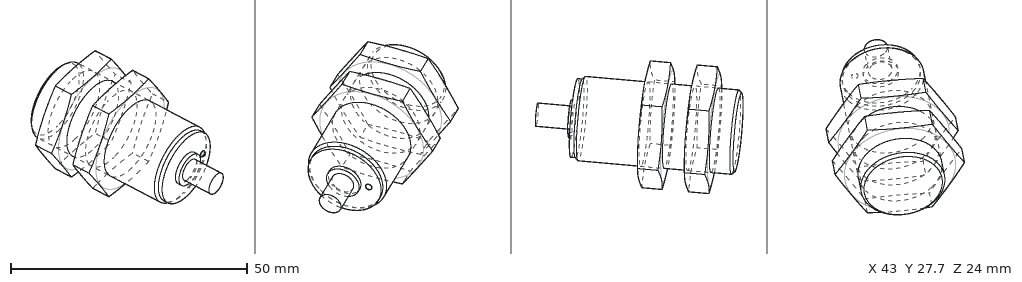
import cadquery as cq
import math

BODY_DIAMETER = 18.0
NECK_DIAMETER = 16.77
BODY_END = 34.0
NECK_END = 35.0
FACE_CHAMFER = (BODY_DIAMETER - NECK_DIAMETER) / 2

COLLAR_DIAMETER = 7.5
COLLAR_END = 35.95
CABLE_DIAMETER = 5.0
CABLE_END = 43.0

LAMP_DIAMETER = 1.44
LAMP_RIM_HEIGHT = 0.1
LAMP_DOME_HEIGHT = 0.47
LAMP_OFFSET_Y = 5.58

NUT_ACROSS_FLATS = 24.0
NUT_ACROSS_CORNERS = NUT_ACROSS_FLATS / math.cos(math.radians(30))
NUT_WIDTH = 5.0
NUT_STARTS = (5.0, 15.0)
NUT_FACE_DIAMETER = 23.8
NUT_CHAMFER_ANGLE = 10.0


def cylinder(start, end, diameter):
    """Cylinder on the X axis between two X positions."""
    return cq.Workplane("YZ", origin=(start, 0, 0)).circle(diameter / 2).extrude(end - start)


def make_lamp():
    """Short round rim topped by a spherical cap, revolved about its own axis parallel to X."""
    radius = LAMP_DIAMETER / 2
    sphere_radius = (radius**2 + LAMP_DOME_HEIGHT**2) / (2 * LAMP_DOME_HEIGHT)
    half_angle = math.asin(radius / sphere_radius) / 2
    tip = LAMP_RIM_HEIGHT + LAMP_DOME_HEIGHT
    arc_middle = (
        tip - sphere_radius * (1 - math.cos(half_angle)),
        sphere_radius * math.sin(half_angle),
    )
    return (
        cq.Workplane("XY", origin=(NECK_END, LAMP_OFFSET_Y, 0))
        .lineTo(tip, 0)
        .threePointArc(arc_middle, (LAMP_RIM_HEIGHT, radius))
        .lineTo(0, radius)
        .close()
        .revolve(360, (0, 0), (1, 0))
    )


def make_sensor():
    """Chamfered barrel with its rear neck, collar, cable and lamp as one solid."""
    barrel = cylinder(0, BODY_END, BODY_DIAMETER).faces("<X or >X").chamfer(FACE_CHAMFER)
    neck = cylinder(BODY_END, NECK_END, NECK_DIAMETER)
    collar = cylinder(NECK_END, COLLAR_END, COLLAR_DIAMETER)
    cable = cylinder(COLLAR_END, CABLE_END, CABLE_DIAMETER)
    return barrel.union(neck).union(collar).union(cable).union(make_lamp())


def make_nut(start):
    """Hex nut whose corners are turned down by a shallow cone on both faces."""
    face_radius = NUT_FACE_DIAMETER / 2
    corner_radius = NUT_ACROSS_CORNERS / 2
    chamfer_depth = (corner_radius - face_radius) * math.tan(math.radians(NUT_CHAMFER_ANGLE))
    hexagon = (
        cq.Workplane("YZ", origin=(start, 0, 0))
        .polygon(6, NUT_ACROSS_CORNERS)
        .extrude(NUT_WIDTH)
    )
    turned_blank = (
        cq.Workplane("XY", origin=(start, 0, 0))
        .polyline([
            (0, 0),
            (0, face_radius),
            (chamfer_depth, corner_radius),
            (NUT_WIDTH - chamfer_depth, corner_radius),
            (NUT_WIDTH, face_radius),
            (NUT_WIDTH, 0),
        ])
        .close()
        .revolve(360, (0, 0), (1, 0))
    )
    bore = cylinder(start, start + NUT_WIDTH, BODY_DIAMETER)
    return hexagon.intersect(turned_blank).cut(bore)


sensor = make_sensor()
nuts = [make_nut(start) for start in NUT_STARTS]

result = cq.Compound.makeCompound([sensor.val(), *[nut.val() for nut in nuts]])